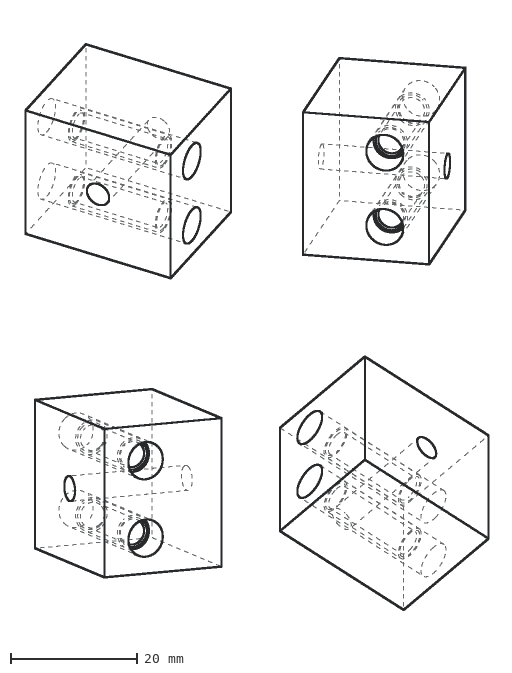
import cadquery as cq

LENGTH = 26.0
DEPTH = 20.5
HEIGHT = 24.0
MOUNTING_HOLE_DIAMETER = 4.0

BORE_DIAMETER = 6.0
BORE_Y = -3.05
BORE_SPACING = 12.5
BORE_HEIGHTS = (-BORE_SPACING / 2, BORE_SPACING / 2)

TUBE_OUTER_DIAMETER = 5.5
TUBE_INNER_DIAMETER = 4.13
TUBE_CHAMFER = 0.35
TUBE_RECESS = 5.2
TUBE_LENGTH = LENGTH - 2 * TUBE_RECESS
TUBE_Y = BORE_Y + (BORE_DIAMETER - TUBE_OUTER_DIAMETER) / 2


def x_cylinder(diameter, length, y, z):
    """Cylinder along X, centred on the plane X = 0."""
    return cq.Workplane("YZ", origin=(-length / 2, y, z)).circle(diameter / 2).extrude(length)


def make_housing():
    """Block with a mounting hole along Y and two wire bores along X."""
    block = cq.Workplane("XY").box(LENGTH, DEPTH, HEIGHT)
    block = block.faces("<Y").workplane(centerOption="CenterOfBoundBox").hole(MOUNTING_HOLE_DIAMETER)
    for bore_z in BORE_HEIGHTS:
        block = block.cut(x_cylinder(BORE_DIAMETER, LENGTH, BORE_Y, bore_z))
    return block


def make_tube(bore_z):
    """Terminal tube with a chamfered mouth at both ends."""
    tube = x_cylinder(TUBE_OUTER_DIAMETER, TUBE_LENGTH, TUBE_Y, bore_z)
    tube = tube.cut(x_cylinder(TUBE_INNER_DIAMETER, TUBE_LENGTH, TUBE_Y, bore_z))
    inner_mouths = cq.selectors.RadiusNthSelector(0)
    return tube.faces("<X or >X").edges(inner_mouths).chamfer(TUBE_CHAMFER)


housing = make_housing()
tubes = [make_tube(bore_z) for bore_z in BORE_HEIGHTS]

result = cq.Compound.makeCompound([housing.val(), *[tube.val() for tube in tubes]])